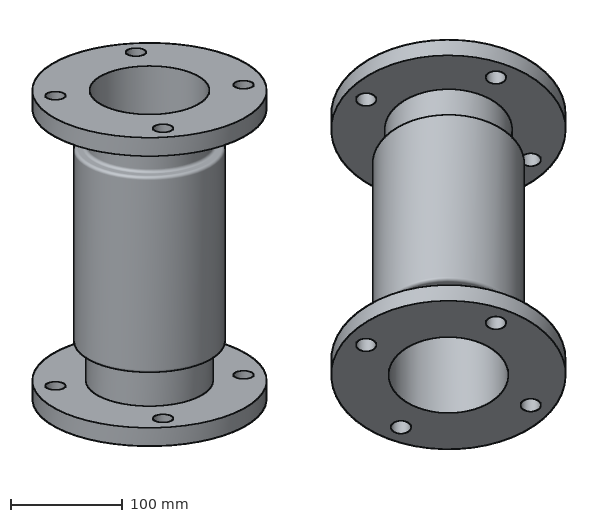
import cadquery as cq

total_height = 302.0
flange_diameter = 210.0
flange_thickness = 18.0

bolt_circle_diameter = 170.0
bolt_hole_diameter = 18.0
bolt_hole_count = 4
first_bolt_angle = 45.0

pipe_diameter = 114.2
bore_diameter = 107.2
sleeve_diameter = 136.0
sleeve_length = 192.0
sleeve_edge_radius = 3.0
sleeve_root_radius = 3.0


flange_radius = flange_diameter / 2
pipe_radius = pipe_diameter / 2
bore_radius = bore_diameter / 2
sleeve_radius = sleeve_diameter / 2

top = total_height / 2
flange_underside = top - flange_thickness
sleeve_end = sleeve_length / 2
sleeve_edge_start = sleeve_end - sleeve_edge_radius
root_top = sleeve_end + sleeve_root_radius

sleeve_flat_outer = sleeve_radius - sleeve_edge_radius
sleeve_flat_inner = pipe_radius + sleeve_root_radius


def make_turned_body():
    """Pipe, sleeve, flanges and through bore revolved about Z from one profile (radius, height)."""
    return (
        cq.Workplane("XZ")
        .moveTo(bore_radius, -top)
        .lineTo(flange_radius, -top)
        .lineTo(flange_radius, -flange_underside)
        .lineTo(pipe_radius, -flange_underside)
        .lineTo(pipe_radius, -root_top)
        .radiusArc((sleeve_flat_inner, -sleeve_end), sleeve_root_radius)
        .lineTo(sleeve_flat_outer, -sleeve_end)
        .radiusArc((sleeve_radius, -sleeve_edge_start), -sleeve_edge_radius)
        .lineTo(sleeve_radius, sleeve_edge_start)
        .radiusArc((sleeve_flat_outer, sleeve_end), -sleeve_edge_radius)
        .lineTo(sleeve_flat_inner, sleeve_end)
        .radiusArc((pipe_radius, root_top), sleeve_root_radius)
        .lineTo(pipe_radius, flange_underside)
        .lineTo(flange_radius, flange_underside)
        .lineTo(flange_radius, top)
        .lineTo(bore_radius, top)
        .close()
        .revolve(360, (0, 0), (0, 1))
    )


def make_bolt_holes():
    """Full-height cylinders that pierce both flanges and clear the sleeve."""
    return (
        cq.Workplane("XY", origin=(0, 0, -top))
        .polarArray(bolt_circle_diameter / 2, first_bolt_angle, 360, bolt_hole_count)
        .circle(bolt_hole_diameter / 2)
        .extrude(total_height)
    )


result = make_turned_body().cut(make_bolt_holes())